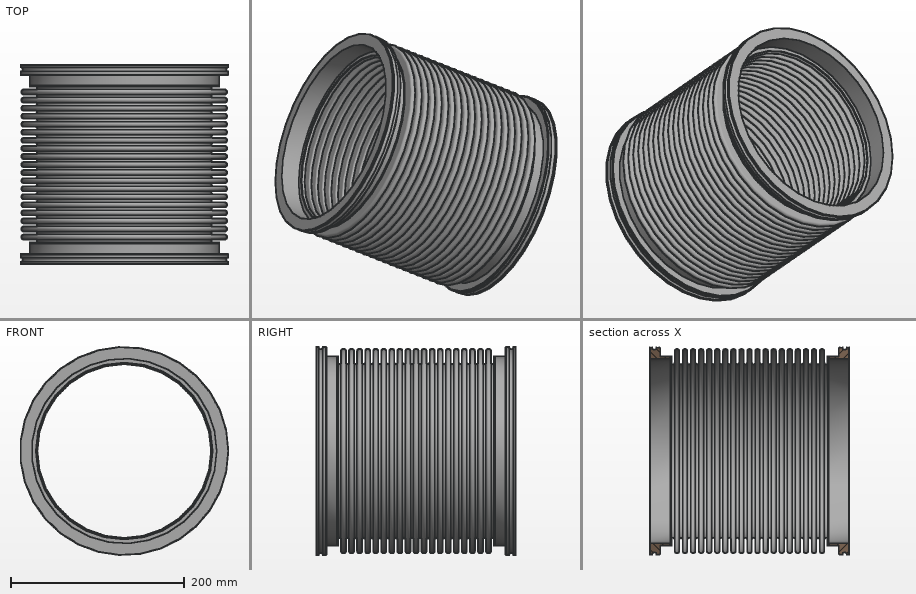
import cadquery as cq

total_length = 229.36
half_length = total_length / 2

flange_radius = 120.0
flange_thickness = 12.0
flange_chamfer = 1.0
neck_outer_radius = 109.5
neck_wall = 3.0
groove_radius = 2.5
groove_center = 5.0

convolution_count = 19
pitch = 9.28
crest_radius = 118.5
crest_width = 6.0
root_inner_radius = 100.0
bellows_wall = 0.25
plate_thickness = 1.5

crest_outer_arc = crest_width / 2
crest_inner_arc = crest_outer_arc - bellows_wall
root_outer_arc = pitch / 2 - crest_outer_arc
root_inner_arc = root_outer_arc + bellows_wall
crest_arc_center = crest_radius - crest_outer_arc
root_arc_center = root_inner_radius + root_inner_arc

plate_inner_y = pitch * convolution_count / 2 + root_outer_arc
plate_outer_y = plate_inner_y + plate_thickness


def revolve_about_y(profile):
    return profile.close().revolve(360, (0, 0, 0), (0, 1, 0))


def make_flange():
    """Flange at the -Y end: grooved rim with a thin neck reaching to the bellows plate."""
    face_y = -half_length
    bore_radius = neck_outer_radius - neck_wall
    rim_back_y = face_y + flange_thickness
    groove_y = face_y + groove_center
    profile = (
        cq.Workplane("XY")
        .moveTo(bore_radius, face_y)
        .lineTo(flange_radius, face_y)
        .lineTo(flange_radius, groove_y - groove_radius)
        .threePointArc(
            (flange_radius - groove_radius, groove_y), (flange_radius, groove_y + groove_radius)
        )
        .lineTo(flange_radius, rim_back_y - flange_chamfer)
        .lineTo(flange_radius - flange_chamfer, rim_back_y)
        .lineTo(neck_outer_radius, rim_back_y)
        .lineTo(neck_outer_radius, -plate_outer_y)
        .lineTo(bore_radius, -plate_outer_y)
    )
    return revolve_about_y(profile)


def add_waves(profile, direction, crest_arc, root_arc):
    """Trace one skin of the bellows along Y; direction is +1 or -1, the arcs are that skin's radii."""
    root_bottom = root_arc_center - root_arc
    crest_top = crest_arc_center + crest_arc
    start_root_y = -direction * pitch * convolution_count / 2
    profile = profile.lineTo(root_arc_center, start_root_y - direction * root_arc)
    for index in range(convolution_count + 1):
        root_y = start_root_y + direction * index * pitch
        root_end = (root_arc_center, root_y + direction * root_arc)
        profile = profile.threePointArc((root_bottom, root_y), root_end)
        if index < convolution_count:
            crest_y = root_y + direction * pitch / 2
            crest_end = (crest_arc_center, crest_y + direction * crest_arc)
            profile = profile.lineTo(crest_arc_center, crest_y - direction * crest_arc)
            profile = profile.threePointArc((crest_top, crest_y), crest_end)
            profile = profile.lineTo(root_arc_center, crest_y + direction * crest_arc)
    return profile


def make_bellows():
    """Corrugated tube with rounded crests and roots and a flat plate at each end."""
    profile = cq.Workplane("XY").moveTo(root_arc_center, -plate_outer_y)
    profile = profile.lineTo(neck_outer_radius, -plate_outer_y)
    profile = profile.lineTo(neck_outer_radius, -plate_inner_y)
    profile = add_waves(profile, 1, crest_outer_arc, root_outer_arc)
    profile = profile.lineTo(neck_outer_radius, plate_inner_y)
    profile = profile.lineTo(neck_outer_radius, plate_outer_y)
    profile = profile.lineTo(root_arc_center, plate_outer_y)
    profile = add_waves(profile, -1, crest_inner_arc, root_inner_arc)
    return revolve_about_y(profile)


front_flange = make_flange()
back_flange = front_flange.mirror("XZ")
bellows = make_bellows()

result = cq.Compound.makeCompound([front_flange.val(), back_flange.val(), bellows.val()])